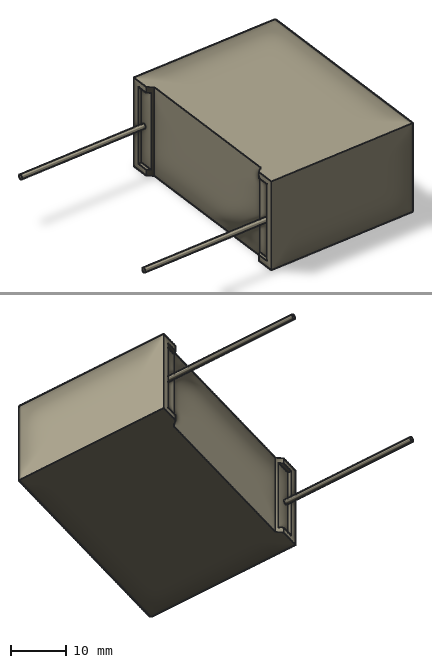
import cadquery as cq

overall_length = 59.1
housing_width = 41.8
housing_height = 19.3
housing_length = 32.1
back_edge_radius = 0.55

foot_width = 3.8
relief_depth = 1.1
relief_slope_width = 1.0

recess_side_wall = 1.4
recess_end_wall = 1.3
recess_depth = 0.7

lead_spacing = 37.4
lead_diameter = 1.0

front_y = -housing_length / 2
recess_floor_y = front_y + recess_depth
lead_tip_y = housing_length / 2 - overall_length
relief_front_half_width = housing_width / 2 - foot_width
relief_back_half_width = relief_front_half_width - relief_slope_width
sides = (-1, 1)


def make_block():
    """Rectangular block with its back edges rounded."""
    block = cq.Workplane("XY").box(housing_width, housing_length, housing_height)
    return block.faces(">Y").edges().fillet(back_edge_radius)


def make_relief():
    """Trapezoidal channel cut between the feet, over the full height."""
    return (
        cq.Workplane("XY")
        .polyline([
            (-relief_front_half_width, front_y),
            (-relief_back_half_width, front_y + relief_depth),
            (relief_back_half_width, front_y + relief_depth),
            (relief_front_half_width, front_y),
        ])
        .close()
        .extrude(housing_height / 2, both=True)
    )


def make_recess(side):
    """Recess whose flat floor runs inward until it meets the slope of the relief."""
    outer_x = housing_width / 2 - recess_side_wall
    recess_width = outer_x - relief_back_half_width
    recess_height = housing_height - 2 * recess_end_wall
    recess = cq.Workplane("XY").box(recess_width, recess_depth, recess_height)
    centre_x = side * (outer_x - recess_width / 2)
    return recess.translate((centre_x, front_y + recess_depth / 2, 0))


def make_housing():
    """Block with the front relief and one recess in each foot."""
    housing = make_block().cut(make_relief())
    for side in sides:
        housing = housing.cut(make_recess(side))
    return housing


def make_lead(side):
    """Round wire standing on the recess floor and pointing forward."""
    return (
        cq.Workplane("XZ", origin=(side * lead_spacing / 2, recess_floor_y, 0))
        .circle(lead_diameter / 2)
        .extrude(recess_floor_y - lead_tip_y)
    )


housing = make_housing()
leads = [make_lead(side) for side in sides]

result = cq.Compound.makeCompound([housing.val(), *[lead.val() for lead in leads]])